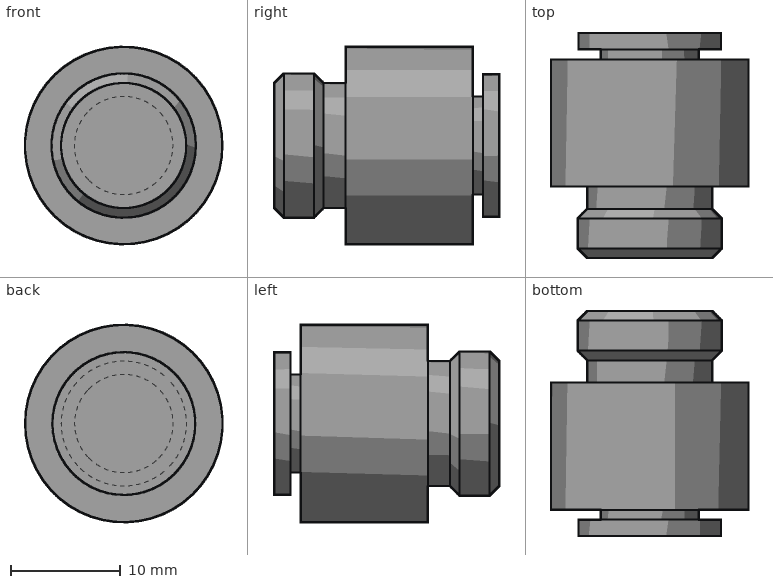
import cadquery as cq

total_length = 20.5
body_diameter = 18.0
plug_diameter = 13.16
plug_neck_diameter = 11.4
flange_diameter = 13.0
flange_neck_diameter = 8.95

plug_length = 4.49
plug_neck_length = 2.0
flange_neck_length = 0.9
flange_length = 1.5

plug_chamfer = (plug_diameter - plug_neck_diameter) / 2

body_start = plug_length + plug_neck_length
flange_start = total_length - flange_length
body_end = flange_start - flange_neck_length


def cylinder_along_y(diameter, start, end):
    """Solid cylinder on the Y axis between two places along it."""
    base = cq.Workplane("XZ", origin=(0, start, 0))
    return base.circle(diameter / 2).extrude(start - end)


plug = cylinder_along_y(plug_diameter, 0, plug_length).edges("%CIRCLE").chamfer(plug_chamfer)

plug_neck = cylinder_along_y(plug_neck_diameter, plug_length, body_start)
body = cylinder_along_y(body_diameter, body_start, body_end)
flange_neck = cylinder_along_y(flange_neck_diameter, body_end, flange_start)
flange = cylinder_along_y(flange_diameter, flange_start, total_length)

result = plug.union(plug_neck).union(body).union(flange_neck).union(flange)